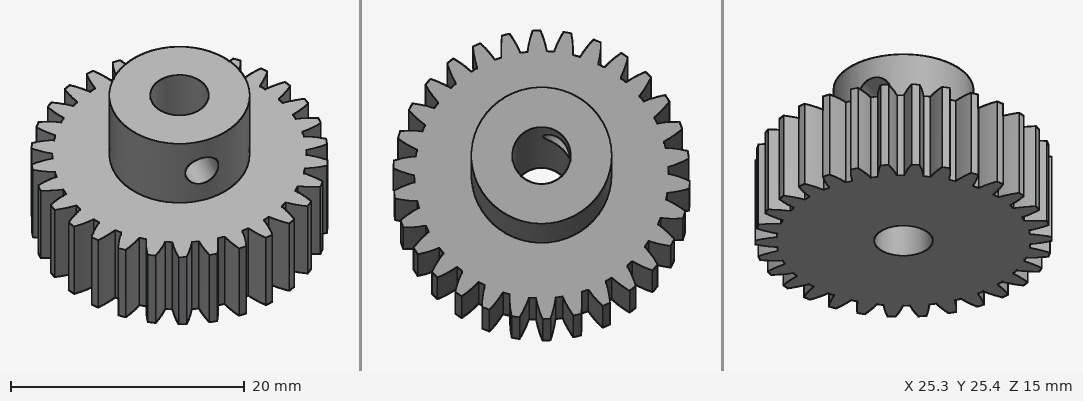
import cadquery as cq
import math

tooth_count = 30
tip_radius = 12.7
tooth_depth = 1.83
root_radius = tip_radius - tooth_depth
gear_width = 8.0

root_half_thickness = 0.85
flank_middle_radius = 11.9
flank_middle_half_thickness = 0.6
tip_half_thickness = 0.343

hub_diameter = 12.0
total_height = 15.0
hub_height = total_height - gear_width
bore_diameter = 5.0
screw_hole_diameter = 3.0
screw_hole_height = gear_width + hub_height / 2


def polar_point(radius, angle):
    return (radius * math.cos(angle), radius * math.sin(angle))


def make_gear_blank():
    """Toothed disc with curved flanks, and one tooth centred on +Y."""
    pitch_angle = 2 * math.pi / tooth_count
    root_angle = root_half_thickness / root_radius
    flank_angle = flank_middle_half_thickness / flank_middle_radius
    tip_angle = tip_half_thickness / tip_radius
    first_tooth_angle = math.pi / 2

    outline = cq.Workplane("XY").moveTo(*polar_point(root_radius, first_tooth_angle - root_angle))
    for tooth in range(tooth_count):
        middle = first_tooth_angle + tooth * pitch_angle
        outline = (
            outline
            .threePointArc(
                polar_point(flank_middle_radius, middle - flank_angle),
                polar_point(tip_radius, middle - tip_angle),
            )
            .threePointArc(
                polar_point(tip_radius, middle),
                polar_point(tip_radius, middle + tip_angle),
            )
            .threePointArc(
                polar_point(flank_middle_radius, middle + flank_angle),
                polar_point(root_radius, middle + root_angle),
            )
            .threePointArc(
                polar_point(root_radius, middle + pitch_angle / 2),
                polar_point(root_radius, middle + pitch_angle - root_angle),
            )
        )
    return outline.close().extrude(gear_width)


def make_hub():
    return cq.Workplane("XY").circle(hub_diameter / 2).extrude(total_height)


def make_bore():
    return cq.Workplane("XY").circle(bore_diameter / 2).extrude(total_height)


def make_screw_hole():
    """Radial hole from the bore out through the +X side of the hub."""
    return (
        cq.Workplane("YZ")
        .center(0, screw_hole_height)
        .circle(screw_hole_diameter / 2)
        .extrude(hub_diameter / 2)
    )


result = make_gear_blank().union(make_hub()).cut(make_bore()).cut(make_screw_hole())